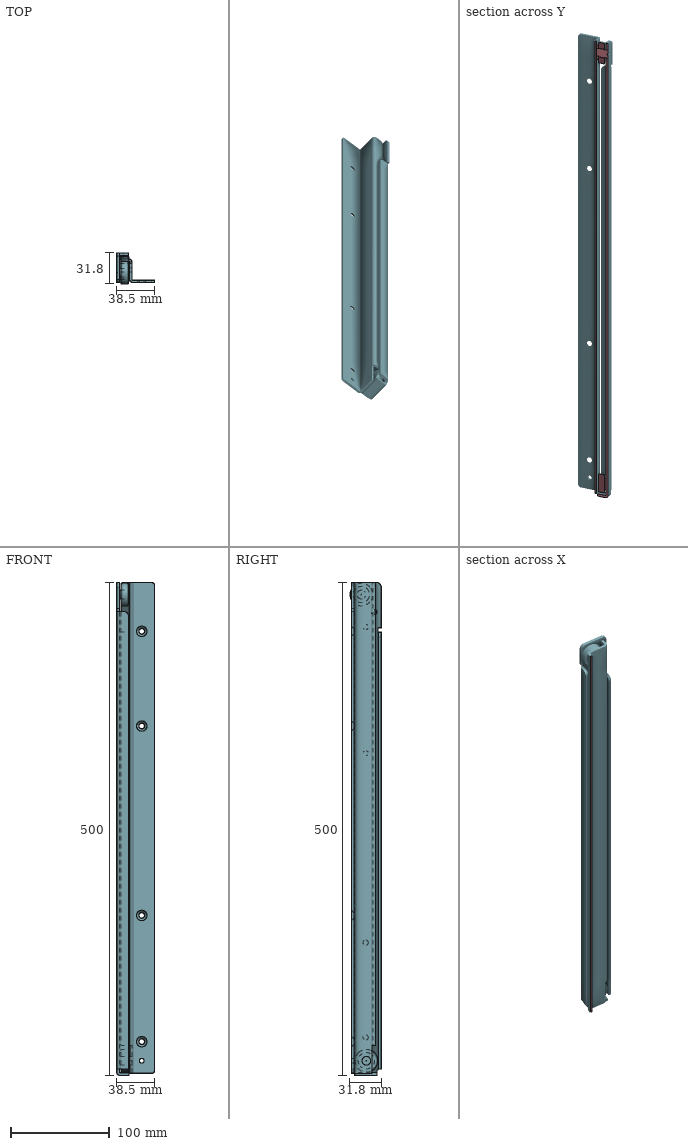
import cadquery as cq


length = 500.0
overall_width = 38.5
overall_depth = 31.75

seam_overlap = 1.0

channel_sheet = 3.0
channel_bend = 3.25
channel_front = 1.5
channel_lip_end = 12.0
lip_bottom = 6.5
front_lip_top = 470.5
back_lip_top = 449.5
front_relief_top = 473.5
back_relief_top = 454.0
web_corner_radius = 5.0
lip_corner_radius = 5.0
stop_tab_end = 12.5
tab_inset = 1.0
tab_notch_top = 5.5

bracket_sheet = 2.5
bracket_bend = 3.5
bracket_bottom = 2.2
bracket_front = 1.5
leg_left = 13.1
leg_right = leg_left + bracket_sheet
rail_left = 4.4
rail_corner_radius = 3.0
flange_corner_radius = 3.0

roller_radius = 11.5
roller_left, roller_right = 4.25, 11.75
roller_rim_fillet = 1.0
axle_radius = 4.4
centre_mark_radius = 0.3
centre_mark_depth = 1.0
washer_radius = 8.3
running_gap = 0.25
rail_end_clearance = 4.0
channel_roller_y = roller_radius
channel_roller_z = 487.7
bracket_roller_y = (channel_front + overall_depth) / 2
bracket_roller_z = 15.0

rail_front = 2 * roller_radius + running_gap
rail_back = rail_front + bracket_sheet
rail_bottom = bracket_roller_z + roller_radius + rail_end_clearance

hole_pitches = [128.0, 192.0, 96.0]
screw_hole_diameter = 5.3
fixing_hole_diameter = 5.6
countersink_diameter = 10.5
countersink_angle = 90.0
flange_hole_x = 25.4
flange_hole_start = 34.4
locating_hole_diameter = 4.5
web_hole_y = overall_depth / 2
web_hole_start = 454.8
fixing_hole_y, fixing_hole_z = 24.3, 470.0


def positions(start, pitches, direction):
    """Places along Z reached by stepping through the pitches from the start."""
    return [start + direction * sum(pitches[:i]) for i in range(len(pitches) + 1)]


def bent_sheet(leg_u, leg_v, sheet, bend, plane):
    """Closed L section in the given plane: outer corner at the origin, legs along +u and +v."""
    inner_bend = bend - sheet
    return (
        cq.Workplane(plane)
        .moveTo(bend, 0)
        .lineTo(leg_u, 0)
        .lineTo(leg_u, sheet)
        .lineTo(bend, sheet)
        .radiusArc((sheet, bend), inner_bend)
        .lineTo(sheet, leg_v)
        .lineTo(0, leg_v)
        .lineTo(0, bend)
        .radiusArc((bend, 0), -bend)
        .close()
    )


def x_cylinder(radius, x_start, x_end, y, z):
    """Solid cylinder along X."""
    plane = cq.Plane(origin=(x_start, y, z), xDir=(0, 1, 0), normal=(1, 0, 0))
    return cq.Workplane(plane).circle(radius).extrude(x_end - x_start)


def make_lip(corner_plane, lip_length):
    """Bent lip along one side of the channel, with its upper free corner rounded."""
    root = channel_bend + seam_overlap
    section = bent_sheet(channel_lip_end, root, channel_sheet, channel_bend, corner_plane)
    return section.extrude(lip_length).edges("|Y and >X and >Z").fillet(lip_corner_radius)


def make_channel():
    """Flat web with a lip along each long side and a stop tab at the bottom end."""
    web_front = channel_front + channel_bend
    web_back = overall_depth - channel_bend

    web_height = length - channel_bend
    web = cq.Workplane("XY").box(channel_sheet, web_back - web_front, web_height, centered=False)
    web = web.translate((0, web_front, channel_bend))
    tab_back = web_back - tab_inset
    tab_notch = cq.Workplane("XY").box(channel_sheet, tab_inset, tab_notch_top, centered=False)
    web = web.cut(tab_notch.translate((0, tab_back, 0)))

    head_plane = cq.Plane(origin=(0, 0, 0), xDir=(0, 1, 0), normal=(1, 0, 0))
    head = (
        cq.Workplane(head_plane)
        .moveTo(channel_front, front_relief_top)
        .lineTo(channel_front, length)
        .lineTo(overall_depth, length)
        .lineTo(overall_depth, back_relief_top)
        .lineTo(web_front, back_relief_top)
        .lineTo(web_front, front_relief_top)
        .close()
        .extrude(channel_sheet)
        .edges("|X and >Z")
        .fillet(web_corner_radius)
    )

    front_corner = (0, channel_front, lip_bottom)
    front_plane = cq.Plane(origin=front_corner, xDir=(1, 0, 0), normal=(0, 0, 1))
    front_lip = make_lip(front_plane, front_lip_top - lip_bottom)
    back_corner = (0, overall_depth, back_lip_top)
    back_plane = cq.Plane(origin=back_corner, xDir=(1, 0, 0), normal=(0, 0, -1))
    back_lip = make_lip(back_plane, back_lip_top - lip_bottom)

    tab_plane = cq.Plane(origin=(0, tab_back, 0), xDir=(1, 0, 0), normal=(0, -1, 0))
    stop_tab = bent_sheet(stop_tab_end, channel_bend + seam_overlap, channel_sheet, channel_bend, tab_plane)
    stop_tab = stop_tab.extrude(tab_back - web_front)

    channel = web.union(head).union(front_lip).union(back_lip).union(stop_tab)
    for z in positions(web_hole_start, hole_pitches, -1):
        channel = channel.cut(x_cylinder(screw_hole_diameter / 2, 0, channel_sheet, web_hole_y, z))
    fixing_hole = x_cylinder(fixing_hole_diameter / 2, 0, channel_sheet, fixing_hole_y, fixing_hole_z)
    axle_hole = x_cylinder(axle_radius, 0, channel_sheet, channel_roller_y, channel_roller_z)
    return channel.cut(fixing_hole).cut(axle_hole)


def make_bracket():
    """Leg beside the rollers, with a screw flange on the right and a roller rail at the back."""
    leg_back = rail_back - bracket_bend
    angle_plane = cq.Plane(origin=(leg_left, bracket_front, bracket_bottom), xDir=(1, 0, 0), normal=(0, 0, 1))
    flange_reach = overall_width - leg_left
    angle = (
        bent_sheet(flange_reach, leg_back - bracket_front, bracket_sheet, bracket_bend, angle_plane)
        .extrude(length - bracket_bottom)
        .edges("|Y and >X")
        .fillet(flange_corner_radius)
    )

    rail_plane = cq.Plane(origin=(leg_right, rail_back, rail_bottom), xDir=(-1, 0, 0), normal=(0, 0, 1))
    rail_root = bracket_bend + seam_overlap
    rail = bent_sheet(leg_right - rail_left, rail_root, bracket_sheet, bracket_bend, rail_plane)
    rail = rail.extrude(length - rail_bottom).edges("|Y and <X and >Z").fillet(rail_corner_radius)

    flange_face = cq.Plane(origin=(flange_hole_x, bracket_front, 0), xDir=(1, 0, 0), normal=(0, -1, 0))
    screw_points = [(0, z) for z in positions(flange_hole_start, hole_pitches, 1)]
    bracket = (
        angle.union(rail)
        .copyWorkplane(cq.Workplane(flange_face))
        .pushPoints(screw_points)
        .cskHole(screw_hole_diameter, countersink_diameter, countersink_angle, depth=bracket_sheet)
    )
    bracket = (
        bracket.copyWorkplane(cq.Workplane(flange_face))
        .pushPoints([(0, bracket_roller_z)])
        .hole(locating_hole_diameter, depth=bracket_sheet)
    )
    return bracket.cut(x_cylinder(axle_radius, leg_left, leg_right, bracket_roller_y, bracket_roller_z))


def make_roller(y, z):
    """Roller with rounded rims, bored for its axle."""
    roller = x_cylinder(roller_radius, roller_left, roller_right, y, z).edges().fillet(roller_rim_fillet)
    return roller.cut(x_cylinder(axle_radius, roller_left, roller_right, y, z))


def make_axle(x_start, x_end, mark_start, y, z):
    """Plain axle with a small centre mark sunk into its end at the member that holds it."""
    axle = x_cylinder(axle_radius, x_start, x_end, y, z)
    return axle.cut(x_cylinder(centre_mark_radius, mark_start, mark_start + centre_mark_depth, y, z))


def make_washer(x_start, x_end, y, z):
    """Flat washer around an axle."""
    return x_cylinder(washer_radius, x_start, x_end, y, z).cut(x_cylinder(axle_radius, x_start, x_end, y, z))


channel = make_channel()
bracket = make_bracket()

bodies = [
    channel,
    bracket,
    make_roller(channel_roller_y, channel_roller_z),
    make_axle(0, leg_left, 0, channel_roller_y, channel_roller_z),
    make_washer(roller_right, leg_left, channel_roller_y, channel_roller_z),
    make_roller(bracket_roller_y, bracket_roller_z),
    make_axle(channel_sheet, leg_right, leg_right - centre_mark_depth, bracket_roller_y, bracket_roller_z),
    make_washer(channel_sheet, roller_left, bracket_roller_y, bracket_roller_z),
]

result = cq.Compound.makeCompound([body.val() for body in bodies])